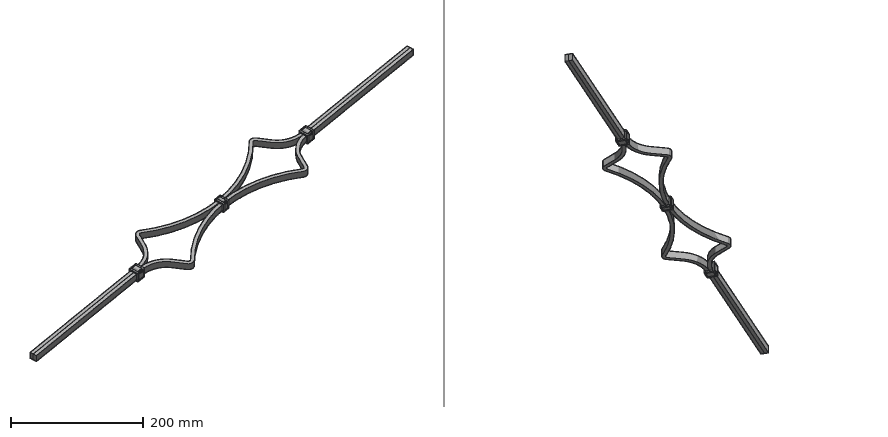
import cadquery as cq
import math

length = 900.0
basket_width = 110.0
bar_width = 6.0
bar_height = 2 * bar_width

waist_radius = 206.0
corner_radius = 6.0
shoulder_radius = 49.0
shoulder_slope = 29.0

collar_body_size = 17.0
collar_pad_size = 20.0
pad_width = 13.0
pad_margin = 3.15
end_collar_length = 16.0
middle_collar_length = 13.0
end_collar_center = 202.5

strand_offset = bar_width / 2
waist_angle = math.acos(1 - (basket_width / 2 - bar_width) / (waist_radius + corner_radius))
corner_turn_end = math.radians(90 - shoulder_slope)
waist_center = (strand_offset + waist_radius, 0)
corner_center = (
    waist_center[0] - (waist_radius + corner_radius) * math.cos(waist_angle),
    (waist_radius + corner_radius) * math.sin(waist_angle),
)


def on_circle(center, radius, angle):
    """The point of a circle at an angle from +X, in radians."""
    return (center[0] + radius * math.cos(angle), center[1] + radius * math.sin(angle))


def mirrored(point):
    """The same point on the other side of Y = 0."""
    return (point[0], -point[1])


shoulder_center_x = strand_offset + shoulder_radius
shoulder_center_y = (
    corner_center[1]
    + (corner_radius + shoulder_radius) / math.sin(corner_turn_end)
    - (shoulder_center_x - corner_center[0]) / math.tan(corner_turn_end)
)
shoulder_center = (shoulder_center_x, shoulder_center_y)


def make_strand():
    """The strand on the +X side: a flat bar swept along a bent centre line."""
    waist_end = on_circle(waist_center, waist_radius, math.pi - waist_angle)
    corner_middle = on_circle(corner_center, corner_radius, (corner_turn_end - waist_angle) / 2)
    corner_end = on_circle(corner_center, corner_radius, corner_turn_end)
    shoulder_start = on_circle(shoulder_center, shoulder_radius, math.pi + corner_turn_end)
    shoulder_middle = on_circle(shoulder_center, shoulder_radius, math.pi + corner_turn_end / 2)
    shoulder_end = (strand_offset, shoulder_center[1])
    center_line = (
        cq.Workplane("XY")
        .moveTo(strand_offset, -length / 2)
        .lineTo(*mirrored(shoulder_end))
        .threePointArc(mirrored(shoulder_middle), mirrored(shoulder_start))
        .lineTo(*mirrored(corner_end))
        .threePointArc(mirrored(corner_middle), mirrored(waist_end))
        .threePointArc((strand_offset, 0), waist_end)
        .threePointArc(corner_middle, corner_end)
        .lineTo(*shoulder_start)
        .threePointArc(shoulder_middle, shoulder_end)
        .lineTo(strand_offset, length / 2)
    )
    section = cq.Workplane("XZ", origin=(strand_offset, -length / 2, 0)).rect(bar_width, bar_height)
    return section.sweep(center_line)


def make_pad_pair(pad_length):
    """Two convex pads on the +Z and -Z sides, as the ends of one block through the sleeve."""
    half_length = pad_length / 2
    foot = collar_body_size / 2
    crown = collar_pad_size / 2
    return (
        cq.Workplane("YZ")
        .moveTo(-half_length, foot)
        .threePointArc((0, crown), (half_length, foot))
        .lineTo(half_length, -foot)
        .threePointArc((0, -crown), (-half_length, -foot))
        .close()
        .extrude(pad_width / 2, both=True)
    )


def make_collar(center_y, collar_length, strands):
    """A square sleeve with four side pads and an opening that fits the strands."""
    collar = cq.Workplane("XY").box(collar_body_size, collar_length, collar_body_size)
    pad_pair = make_pad_pair(collar_length - 2 * pad_margin)
    collar = collar.union(pad_pair)
    collar = collar.union(pad_pair.rotate((0, 0, 0), (0, 1, 0), 90))
    collar = collar.translate((0, center_y, 0))
    for strand in strands:
        collar = collar.cut(strand)
    return collar


right_strand = make_strand()
left_strand = right_strand.mirror("YZ")
strands = [right_strand, left_strand]

collars = [
    make_collar(center_y, collar_length, strands)
    for center_y, collar_length in (
        (-end_collar_center, end_collar_length),
        (0, middle_collar_length),
        (end_collar_center, end_collar_length),
    )
]

result = cq.Compound.makeCompound([body.val() for body in strands + collars])